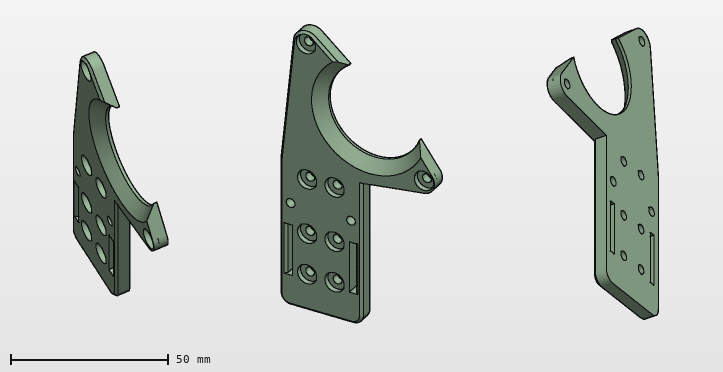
import cadquery as cq
import math

thickness = 5.0
overall_height = 102.8
overall_width = 56.4
leg_width = 30.0
leg_center_x = leg_width / 2
shoulder_z = 53.5
arm_root_z = 53.0
corner_radius = 3.7
edge_chamfer = 0.9

upper_tip_radius = 4.9
upper_tip = (9.5, overall_height - upper_tip_radius)
side_tip_radius = 4.4
side_tip = (overall_width - side_tip_radius, 60.4)

ring_center = (32.7, 78.5)
ring_radius = 17.1
ring_front_radius = 21.1
ring_land = 1.1
upper_horn = (23.4, 92.4)
side_horn = (48.5, 72.8)

hole_diameter = 3.2
counterbore_diameter = 7.0
counterbore_depth = 2.0
arm_screws = [(9.6, 98.5), (52.5, 60.7)]
screw_spacing_x = 10.0
screw_rows_z = (13.5, 28.5, 48.5)
side_hole_spacing = 22.0
side_hole_z = 38.0

slot_bottom_z = 11.4
slot_top_z = 30.0
slot_inner_offset = 10.4
slot_outer_offset = 12.4
slot_chamfer = 1.0


def tangent_point(outside, center, radius, side):
    """Point where a line from `outside` touches a circle; side +1 is counterclockwise."""
    dx = outside[0] - center[0]
    dz = outside[1] - center[1]
    angle = math.atan2(dz, dx) + side * math.acos(radius / math.hypot(dx, dz))
    return (center[0] + radius * math.cos(angle), center[1] + radius * math.sin(angle))


def toward(center, direction, radius):
    """Point on a circle in the given (x, z) direction."""
    length = math.hypot(*direction)
    return (center[0] + radius * direction[0] / length, center[1] + radius * direction[1] / length)


def arc_middle(center, radius, start, end):
    """Middle of the shorter arc between two points of a circle."""
    direction = (start[0] + end[0] - 2 * center[0], start[1] + end[1] - 2 * center[1])
    return toward(center, direction, radius)


def make_plate():
    shoulder = (0, shoulder_z)
    arm_root = (leg_width, arm_root_z)
    tip_left = tangent_point(shoulder, upper_tip, upper_tip_radius, -1)
    tip_right = tangent_point(upper_horn, upper_tip, upper_tip_radius, 1)
    side_top = tangent_point(side_horn, side_tip, side_tip_radius, -1)
    side_bottom = tangent_point(arm_root, side_tip, side_tip_radius, 1)
    plate = (
        cq.Workplane("XZ")
        .lineTo(*shoulder)
        .lineTo(*tip_left)
        .threePointArc(arc_middle(upper_tip, upper_tip_radius, tip_left, tip_right), tip_right)
        .lineTo(*upper_horn)
        .lineTo(*side_horn)
        .lineTo(*side_top)
        .threePointArc(arc_middle(side_tip, side_tip_radius, side_top, side_bottom), side_bottom)
        .lineTo(*arm_root)
        .lineTo(leg_width, 0)
        .close()
        .extrude(-thickness)
    )
    plate = plate.edges("|Y").edges("<Z").fillet(corner_radius)

    def is_chamfered(edge):
        middle = edge.positionAt(0.5)
        on_leg = middle.z < arm_root_z and middle.x <= leg_width
        on_upper_arm = middle.x < upper_horn[0]
        return on_leg or on_upper_arm

    front_edges = plate.faces("<Y").edges().filter(is_chamfered)
    return front_edges.chamfer(edge_chamfer)


def make_ring_opening():
    half_profile = [
        (0, 0),
        (ring_front_radius, 0),
        (ring_radius, thickness - ring_land),
        (ring_radius, thickness),
        (0, thickness),
    ]
    opening = cq.Workplane("XY").polyline(half_profile).close().revolve(360, (0, 0, 0), (0, 1, 0))
    return opening.translate((ring_center[0], 0, ring_center[1]))


def make_holes(points, diameter, depth):
    return cq.Workplane("XZ").pushPoints(points).circle(diameter / 2).extrude(-depth)


def make_slot(side):
    """Slot on the right (side = 1) or left (side = -1) of the leg."""
    section = [
        (leg_center_x + side * slot_inner_offset, 0),
        (leg_center_x + side * (slot_outer_offset + slot_chamfer), 0),
        (leg_center_x + side * slot_outer_offset, slot_chamfer),
        (leg_center_x + side * slot_outer_offset, thickness),
        (leg_center_x + side * slot_inner_offset, thickness),
    ]
    slot = cq.Workplane("XY").workplane(offset=slot_bottom_z).polyline(section).close()
    return slot.extrude(slot_top_z - slot_bottom_z)


leg_screws = [
    (leg_center_x + side * screw_spacing_x / 2, z)
    for side in (-1, 1)
    for z in screw_rows_z
]
screws = leg_screws + arm_screws
side_holes = [(leg_center_x + side * side_hole_spacing / 2, side_hole_z) for side in (-1, 1)]

result = make_plate().cut(make_ring_opening())
result = result.cut(make_holes(screws + side_holes, hole_diameter, thickness))
result = result.cut(make_holes(screws, counterbore_diameter, counterbore_depth))
for slot_side in (-1, 1):
    result = result.cut(make_slot(slot_side))